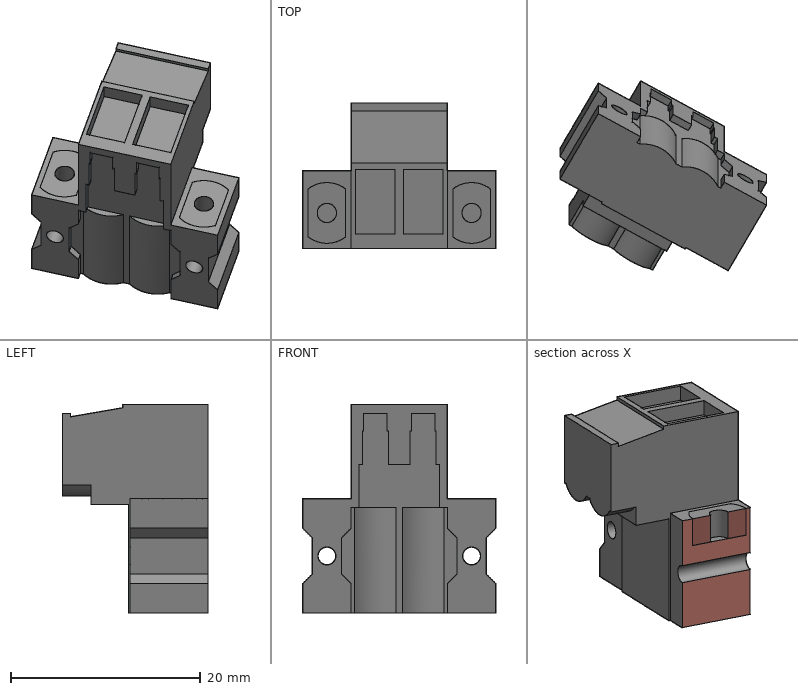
import cadquery as cq

pitch = 5.07
pole_centers = (-pitch / 2, pitch / 2)
housing_width = 2 * pitch
overall_width = 20.42
overall_depth = 15.4
overall_height = 22.05

foot_depth = 8.42
belly_bottom = 11.47
lobe_wall_y = 12.37
tail_bottom = 13.52
ridge_top = 21.1
ridge_front_y = 14.5
ramp_front_y = 9.05
ramp_high = 21.7
ramp_low = 20.75

bulge_width = 4.39
lobe_drop = 1.15
column_bulge = 0.68

front_recess_depth = 0.75
column_top = 11.18
pocket_width = 4.2
pocket_front_y = 1.57
pocket_rear_y = 8.35
pocket_depth = 1.59

fork_base_half_width = 4.25
fork_base_top = 15.72
prong_step_z = 19.25
prong_top = 21.08
prong_outer = 3.88
prong_inner = 1.12
prong_tip_outer = 3.8
prong_tip_inner = 1.3

flange_width = (overall_width - housing_width) / 2
flange_depth = 8.25
flange_height = 12.08
flange_center_x = (housing_width + flange_width) / 2
notch_depth = 1.01
notch_half_height = 2.93
cross_hole_diameter = 1.85

nut_center_y = 3.77
nut_length = 6.42
nut_width = 3.97
nut_height = 3.0
nut_bore = 2.03


def box(x_min, x_max, y_min, y_max, z_min, z_max):
    """Box between the given limits."""
    return (
        cq.Workplane("XY")
        .box(x_max - x_min, y_max - y_min, z_max - z_min, centered=False)
        .translate((x_min, y_min, z_min))
    )


def front_prism(points, depth):
    """Outline of (x, z) points extruded rearward from the front plane."""
    return cq.Workplane("XZ").polyline(points).close().extrude(-depth)


def housing_core():
    """Stepped side profile run across the housing width."""
    profile = [
        (0, 0),
        (foot_depth, 0),
        (foot_depth, belly_bottom),
        (lobe_wall_y, belly_bottom),
        (lobe_wall_y, tail_bottom),
        (overall_depth, tail_bottom),
        (overall_depth, ridge_top),
        (ridge_front_y, ridge_top),
        (ridge_front_y, ramp_low),
        (ramp_front_y, ramp_high),
        (ramp_front_y, overall_height),
        (0, overall_height),
    ]
    return cq.Workplane("YZ").polyline(profile).close().extrude(housing_width / 2, both=True)


def tail_lobe(x):
    """Rounded rib under the tail, running front to rear."""
    return (
        cq.Workplane("XZ", origin=(x, lobe_wall_y, tail_bottom))
        .moveTo(-bulge_width / 2, 0)
        .threePointArc((0, -lobe_drop), (bulge_width / 2, 0))
        .close()
        .extrude(lobe_wall_y - overall_depth)
    )


def front_column(x):
    """Vertical rounded column standing on the recessed front."""
    return (
        cq.Workplane("XY", origin=(x, front_recess_depth, 0))
        .moveTo(-bulge_width / 2, 0)
        .threePointArc((0, -column_bulge), (bulge_width / 2, 0))
        .close()
        .extrude(column_top)
    )


def notch_points(x, inward):
    """Trapezoid notch with its mouth at x, cut toward the side given by inward (+1 or -1)."""
    middle = flange_height / 2
    floor_half_height = notch_half_height - notch_depth
    return [
        (x, middle - notch_half_height),
        (x + inward * notch_depth, middle - floor_half_height),
        (x + inward * notch_depth, middle + floor_half_height),
        (x, middle + notch_half_height),
    ]


def flange(side):
    """Side flange with an outer notch and a front-to-rear hole, built on the left."""
    body = box(-overall_width / 2, -housing_width / 2, 0, flange_depth, 0, flange_height)
    outer_notch = front_prism(notch_points(-overall_width / 2, 1), flange_depth)
    cross_hole = (
        cq.Workplane("XZ", origin=(-flange_center_x, 0, flange_height / 2))
        .circle(cross_hole_diameter / 2)
        .extrude(-flange_depth)
    )
    body = body.cut(outer_notch).cut(cross_hole)
    return body if side < 0 else body.mirror("YZ")


def fork_recess():
    """Forked recess in the upper front face."""
    right = [
        (0, column_top),
        (fork_base_half_width, column_top),
        (fork_base_half_width, fork_base_top),
        (prong_outer, fork_base_top),
        (prong_outer, prong_step_z),
        (prong_tip_outer, prong_step_z),
        (prong_tip_outer, prong_top),
        (prong_tip_inner, prong_top),
        (prong_tip_inner, prong_step_z),
        (prong_inner, prong_step_z),
        (prong_inner, fork_base_top),
        (0, fork_base_top),
    ]
    half = front_prism(right, front_recess_depth)
    return half.union(half.mirror("YZ"))


def foot_recess():
    """Lower front recess behind the columns, with notches reaching into the flanges."""
    recess = box(-housing_width / 2, housing_width / 2, 0, front_recess_depth, 0, column_top)
    for side in (-1, 1):
        recess = recess.union(front_prism(notch_points(side * housing_width / 2, side), front_recess_depth))
    return recess


def top_pocket(x):
    """Rectangular blind pocket sunk into the top face."""
    return box(
        x - pocket_width / 2,
        x + pocket_width / 2,
        pocket_front_y,
        pocket_rear_y,
        overall_height - pocket_depth,
        overall_height,
    )


def nut_blank(side):
    """Round disc with two flats, flush with the flange top."""
    disc = cq.Workplane("XY").circle(nut_length / 2).extrude(nut_height)
    flats = cq.Workplane("XY").rect(nut_width, nut_length).extrude(nut_height)
    return disc.intersect(flats).translate(
        (side * flange_center_x, nut_center_y, flange_height - nut_height)
    )


def make_housing():
    """Housing with its flanges as one solid."""
    body = housing_core()
    for side in (-1, 1):
        body = body.union(flange(side))
    body = body.cut(fork_recess()).cut(foot_recess())
    for x in pole_centers:
        body = body.union(tail_lobe(x)).union(front_column(x)).cut(top_pocket(x))
    for side in (-1, 1):
        body = body.cut(nut_blank(side))
    return body


def make_nut(side):
    """Flange nut with a vertical bore."""
    bore = (
        cq.Workplane("XY", origin=(side * flange_center_x, nut_center_y, flange_height - nut_height))
        .circle(nut_bore / 2)
        .extrude(nut_height)
    )
    return nut_blank(side).cut(bore)


housing = make_housing()
nuts = [make_nut(side) for side in (-1, 1)]
result = cq.Compound.makeCompound([housing.val()] + [nut.val() for nut in nuts])